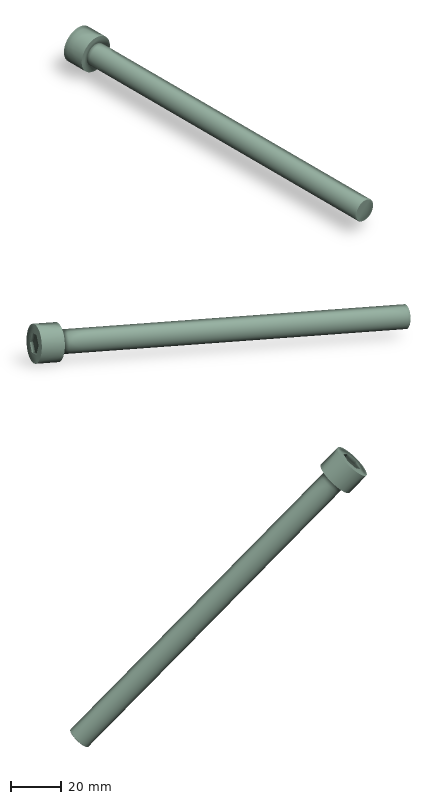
import cadquery as cq
import math

total_length = 160.0
head_diameter = 16.0
head_length = 10.0
shank_diameter = 10.0
tip_chamfer = 0.2
hex_across_flats = 8.0
socket_depth = 1.5

head_face_x = -total_length / 2
hex_across_corners = hex_across_flats / math.cos(math.pi / 6)

head_plane = cq.Workplane("YZ", origin=(head_face_x, 0, 0))

head = head_plane.circle(head_diameter / 2).extrude(head_length)

shank = (
    head_plane.circle(shank_diameter / 2)
    .extrude(total_length)
    .faces(">X")
    .chamfer(tip_chamfer)
)

socket = head_plane.polygon(6, hex_across_corners).extrude(socket_depth)

result = head.union(shank).cut(socket)